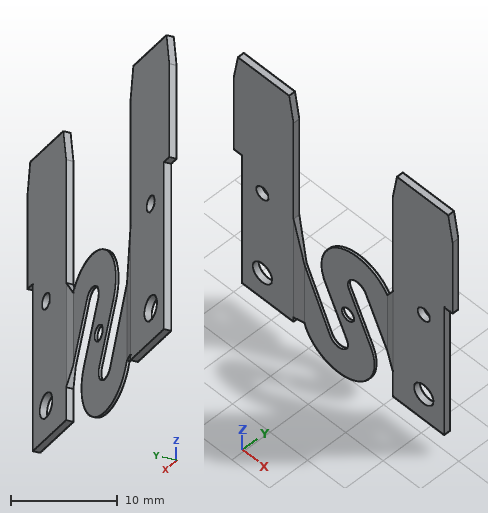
import cadquery as cq
import math

blade_thickness = 0.78
blade_top = 31.0
blade_inner_x = 6.6
blade_outer_x = 14.6
lower_outer_x = 13.48
step_z = 17.75
tip_height = 3.3
tip_inset = 0.57
hole_x = 10.75
large_hole_z = 3.55
large_hole_radius = 1.28
small_hole_z = 14.63
small_hole_radius = 0.8

web_thickness = 0.3
bend_outer_radius = 4.8
bend_inner_radius = 1.25
upper_x = 1.65
upper_z = 10.55
lower_x = -0.85
lower_z = 2.1
web_hole_radius = 0.8

left_taper_x = -5.4
left_web_top = 8.75
left_joint_top = 14.35
right_taper_x = 5.65
right_joint_top = 14.6

center_dx = upper_x - lower_x
center_dz = upper_z - lower_z
center_distance = math.hypot(center_dx, center_dz)
tangent_angle = math.asin((bend_outer_radius + bend_inner_radius) / center_distance)
slot_angle = tangent_angle - math.atan2(center_dx, center_dz)


def bend_point(center_x, center_z, radius, angle):
    """Point on a bend, with the angle taken from +X towards +Z."""
    return (center_x + radius * math.cos(angle), center_z + radius * math.sin(angle))


def upper_point(radius, angle):
    return bend_point(upper_x, upper_z, radius, angle)


def lower_point(radius, angle):
    return bend_point(lower_x, lower_z, radius, angle)


def slot_edge_z(tangent_point, x):
    """Height at x of the slot edge through the tangent point."""
    return tangent_point[1] - (x - tangent_point[0]) / math.tan(slot_angle)


def extrude_centered(sketch, thickness):
    return sketch.extrude(thickness / 2, both=True)


def make_right_blade():
    outline = [
        (blade_inner_x, 0),
        (lower_outer_x, 0),
        (lower_outer_x, step_z),
        (blade_outer_x, step_z),
        (blade_outer_x, blade_top - tip_height),
        (blade_outer_x - tip_inset, blade_top),
        (blade_inner_x + tip_inset, blade_top),
        (blade_inner_x, blade_top - tip_height),
    ]
    blade = extrude_centered(cq.Workplane("XZ").polyline(outline).close(), blade_thickness)
    for z, radius in ((large_hole_z, large_hole_radius), (small_hole_z, small_hole_radius)):
        hole = cq.Workplane("XZ").center(hole_x, z).circle(radius)
        blade = blade.cut(extrude_centered(hole, blade_thickness))
    return blade


def make_web_outline():
    """Full-thickness S with both joints, running from blade to blade."""
    right_side = slot_angle
    left_side = slot_angle + math.pi
    slot_top = slot_angle + math.pi / 2
    slot_bottom = slot_angle - math.pi / 2

    upper_arc_end = math.acos((right_taper_x - upper_x) / bend_outer_radius)
    lower_arc_end = -math.acos((left_taper_x - lower_x) / bend_outer_radius)
    lower_arc_end_point = lower_point(bend_outer_radius, lower_arc_end)
    upper_slot_right = upper_point(bend_inner_radius, right_side)

    sketch = (
        cq.Workplane("XZ")
        .moveTo(blade_inner_x, right_joint_top)
        .lineTo(*upper_point(bend_outer_radius, upper_arc_end))
        .threePointArc(
            upper_point(bend_outer_radius, (upper_arc_end + left_side) / 2),
            upper_point(bend_outer_radius, left_side),
        )
        .lineTo(*lower_point(bend_inner_radius, right_side))
        .threePointArc(lower_point(bend_inner_radius, slot_bottom), lower_point(bend_inner_radius, left_side))
        .lineTo(left_taper_x, left_web_top)
        .lineTo(-blade_inner_x, left_joint_top)
        .lineTo(-blade_inner_x, lower_arc_end_point[1])
        .lineTo(*lower_arc_end_point)
        .threePointArc(
            lower_point(bend_outer_radius, (lower_arc_end + right_side) / 2),
            lower_point(bend_outer_radius, right_side),
        )
        .lineTo(*upper_point(bend_inner_radius, left_side))
        .threePointArc(upper_point(bend_inner_radius, slot_top), upper_slot_right)
        .lineTo(blade_inner_x, slot_edge_z(upper_slot_right, blade_inner_x))
        .close()
    )
    return extrude_centered(sketch, blade_thickness)


def make_web():
    """S web, thinned between the joints and tapering up to each blade."""
    half_blade = blade_thickness / 2
    half_web = web_thickness / 2
    thickness_profile = [
        (-blade_inner_x, -half_blade),
        (left_taper_x, -half_web),
        (right_taper_x, -half_web),
        (blade_inner_x, -half_blade),
        (blade_inner_x, half_blade),
        (right_taper_x, half_web),
        (left_taper_x, half_web),
        (-blade_inner_x, half_blade),
    ]
    envelope = cq.Workplane("XY").polyline(thickness_profile).close().extrude(blade_top, both=True)
    web_hole = (
        cq.Workplane("XZ")
        .center((upper_x + lower_x) / 2, (upper_z + lower_z) / 2)
        .circle(web_hole_radius)
    )
    return make_web_outline().intersect(envelope).cut(extrude_centered(web_hole, blade_thickness))


right_blade = make_right_blade()
left_blade = right_blade.mirror("YZ")
result = right_blade.union(make_web()).union(left_blade)